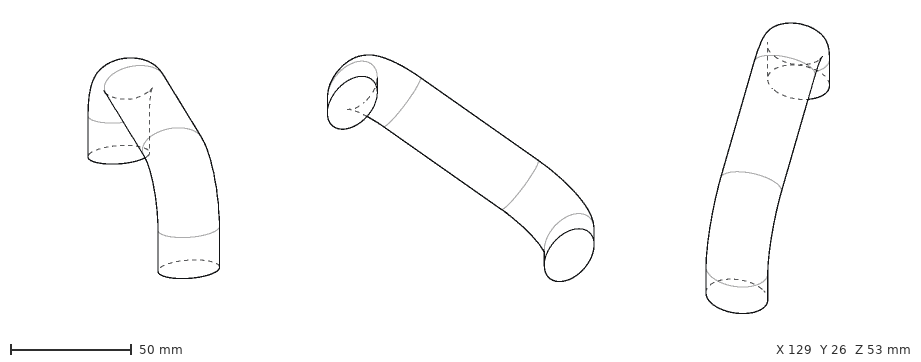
import cadquery as cq

length = 129.0
depth = 26.0
height = 53.0

grip_thickness = 17.0
bend_outer_radius = 34.0

bend_radius = bend_outer_radius - grip_thickness / 2
leg_x = (length - grip_thickness) / 2
leg_height = height - bend_outer_radius
bar_z = height - grip_thickness / 2
bar_half_length = leg_x - bend_radius

centreline = (
    cq.Workplane("XZ")
    .moveTo(-leg_x, 0)
    .lineTo(-leg_x, leg_height)
    .tangentArcPoint((-bar_half_length, bar_z), relative=False)
    .lineTo(bar_half_length, bar_z)
    .tangentArcPoint((leg_x, leg_height), relative=False)
    .lineTo(leg_x, 0)
)

result = (
    cq.Workplane("XY")
    .center(-leg_x, 0)
    .ellipse(grip_thickness / 2, depth / 2)
    .sweep(centreline)
)